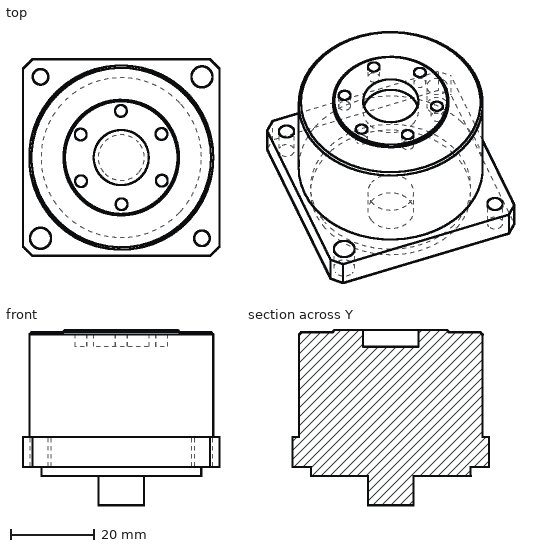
import cadquery as cq

plate_width = 47.25
plate_thickness = 7.27
corner_cut = 2.3
mount_hole_offset = 19.35
clearance_hole_diameter = 5.0
small_hole_diameter = 3.7

body_diameter = 44.2
body_height = 25.1
body_chamfer = 0.55

flange_diameter = 27.8
flange_height = 0.55
flange_chamfer = 0.4
bore_diameter = 13.25
bore_depth = 4.0
bolt_hole_count = 6
bolt_hole_diameter = 2.85
bolt_hole_depth = 4.0
bolt_circle_radius = 11.2
bolt_start_angle = 30.4

pilot_diameter = 38.45
pilot_height = 2.15
shaft_diameter = 11.0
shaft_length = 7.0

body_top = plate_thickness + body_height
flange_top = body_top + flange_height
pilot_bottom = -pilot_height
shaft_bottom = pilot_bottom - shaft_length


def cylinder(diameter, bottom, top):
    """Solid cylinder on the main axis between two heights."""
    return cq.Workplane("XY").workplane(offset=bottom).circle(diameter / 2).extrude(top - bottom)


def mounting_plate():
    """Square plate with cut corners and diagonally paired through holes."""
    plate = (
        cq.Workplane("XY")
        .rect(plate_width, plate_width)
        .extrude(plate_thickness)
        .edges("|Z")
        .chamfer(corner_cut)
    )
    for diameter, slope in ((clearance_hole_diameter, 1), (small_hole_diameter, -1)):
        centers = [(side * mount_hole_offset, side * slope * mount_hole_offset) for side in (-1, 1)]
        holes = cq.Workplane("XY").pushPoints(centers).circle(diameter / 2).extrude(plate_thickness)
        plate = plate.cut(holes)
    return plate


def flange_holes():
    """Central blind bore and the ring of blind bolt holes around it."""
    bore = cylinder(bore_diameter, flange_top - bore_depth, flange_top)
    bolt_holes = (
        cq.Workplane("XY")
        .workplane(offset=flange_top)
        .polarArray(bolt_circle_radius, bolt_start_angle, 360, bolt_hole_count)
        .circle(bolt_hole_diameter / 2)
        .extrude(-bolt_hole_depth)
    )
    return bore.union(bolt_holes)


body = cylinder(body_diameter, plate_thickness, body_top).faces(">Z").chamfer(body_chamfer)
flange = cylinder(flange_diameter, body_top, flange_top).faces(">Z").chamfer(flange_chamfer)
pilot = cylinder(pilot_diameter, pilot_bottom, 0)
shaft = cylinder(shaft_diameter, shaft_bottom, pilot_bottom)

result = mounting_plate().union(body).union(flange).union(pilot).union(shaft).cut(flange_holes())